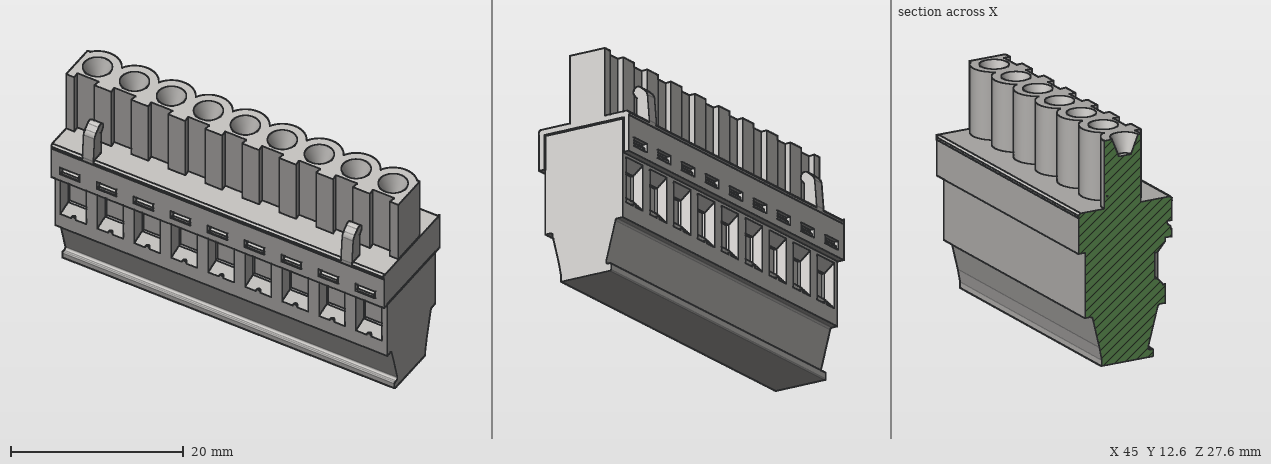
import cadquery as cq
import math

POLES = 9
PITCH = 5.0
WIDTH = 44.9
pole_x = [(i - (POLES - 1) / 2) * PITCH for i in range(POLES)]

TOP = 27.6
BAND_TOP = 19.25
BAND_BOTTOM = 14.25
SHELF_Z = 6.25
LIP_Z = 0.95

BAND_HALF = 6.3
BODY_HALF = 5.4
SHELF_INNER = 4.45
FOOT_BACK = 3.2
FOOT_BACK_Z = 0.75
TAPER_BEND = (3.5, 2.4)
NECK_FRONT = -3.0
LIP_FRONT = -3.8
SHELF_FILLET = 0.25
LIP_EDGE_FILLET = 0.15

BEVEL = 0.25
LID_THICKNESS = 0.6
LID_OVERHANG = 0.05
BODY_TOP = 18.4
GROOVE = 0.15
END_OVERHANG = 0.1

TOWER_Y = 0.05
TOWER_RADIUS = 2.85
TOWER_FRONT = -2.92
SHOULDER_Y = 1.95
KEYWAY_BACK = -2.1
KEYWAY_MOUTH = 2.7
KEYWAY_INNER = 2.9
PLUG_DIA = 3.45
PLUG_FLOOR_DIA = 1.58
PLUG_DEPTH = 2.25

LATCH_WIDTH = 1.5
HOOK_INNER = (-4.55, 22.3)
HOOK_TIP_START = (-4.2, 22.75)
HOOK_TIP_MID = (-4.25, 23.55)
HOOK_TIP_END = (-5.1, 23.6)
HOOK_BEND_START = (-5.65, 23.1)
HOOK_BEND_MID = (-5.9, 22.8)
HOOK_BEND_END = (-6.05, 22.5)
LATCH_X = (POLES / 2 - 1) * PITCH

SLOT_WIDTH = 2.7
SLOT_BOTTOM = 15.2
SLOT_TOP = 16.25
SLOT_DEPTH = 0.65
WEDGE_WIDTH = 2.2
WEDGE_BACK_Z = 15.98
WEDGE_FRONT_Z = 15.55
WEDGE_SETBACK = 0.2

WINDOW_WIDTH = 3.5
WINDOW_BOTTOM = 8.3
WINDOW_TOP = 13.85
THROAT_WIDTH = 2.7
THROAT_BOTTOM = 9.5
THROAT_TOP = 12.65
FUNNEL_DEPTH = 1.1
THROAT_DEPTH = 0.35
BUMP_RADIUS = 0.3


def extrude_x(points, width, x_centre=0.0):
    """Extrude a closed (Y, Z) outline along X, centred on x_centre."""
    outline = cq.Workplane("YZ", origin=(x_centre - width / 2, 0, 0)).polyline(points).close()
    return outline.extrude(width)


def block(x_centre, width, y_range, z_range):
    """Box given by its X centre and width and its Y and Z limits."""
    (y0, y1), (z0, z1) = y_range, z_range
    return cq.Workplane("XY").box(width, y1 - y0, z1 - z0, centered=(True, False, False)).translate(
        (x_centre, y0, z0)
    )


def edge_at(y, z):
    """Selector for the long X edge of the housing through (y, z)."""
    reach = 0.022
    low = (-WIDTH, y - reach, z - reach)
    high = (WIDTH, y + reach, z + reach)
    return cq.selectors.BoxSelector(low, high)


def make_body():
    """Wide body tapering down to a foot with a lip along its front."""
    outline = [
        (-BODY_HALF, BAND_TOP - LID_THICKNESS),
        (-BODY_HALF, SHELF_Z),
        (-SHELF_INNER, SHELF_Z),
        (NECK_FRONT, LIP_Z),
        (LIP_FRONT, LIP_Z),
        (LIP_FRONT, 0),
        (FOOT_BACK, 0),
        (FOOT_BACK, FOOT_BACK_Z),
        TAPER_BEND,
        (SHELF_INNER, SHELF_Z),
        (BODY_HALF, SHELF_Z),
        (BODY_HALF, BAND_TOP - LID_THICKNESS),
    ]
    body = extrude_x(outline, WIDTH)
    for y, z in [(-SHELF_INNER, SHELF_Z), (SHELF_INNER, SHELF_Z), (NECK_FRONT, LIP_Z)]:
        body = body.edges(edge_at(y, z)).fillet(SHELF_FILLET)
    for z in (0, LIP_Z):
        body = body.edges(edge_at(LIP_FRONT, z)).fillet(LIP_EDGE_FILLET)
    return body


def make_band():
    """Bevelled lid with side skirts, overhanging on +X where its corners are square."""
    lid_bottom = BAND_TOP - LID_THICKNESS
    skirt_half = BAND_HALF - LID_OVERHANG
    front = [
        (-skirt_half, BAND_BOTTOM),
        (-skirt_half, lid_bottom),
        (-BAND_HALF, lid_bottom),
        (-BAND_HALF, BAND_TOP - BEVEL),
        (-BAND_HALF + BEVEL, BAND_TOP),
    ]
    back = [(-y, z) for y, z in reversed(front)]
    band = extrude_x(front + back, WIDTH + END_OVERHANG, END_OVERHANG / 2)
    square_end = block(
        (WIDTH + END_OVERHANG) / 2, END_OVERHANG, (-BAND_HALF, BAND_HALF), (lid_bottom, BAND_TOP)
    )
    return band.union(square_end)


def cut_end_groove(solid):
    """Narrow groove on the -X end that parts the band from the body."""
    groove_half = BODY_HALF + GROOVE
    x_centre = -WIDTH / 2 + GROOVE / 2
    groove = block(
        x_centre, GROOVE, (-groove_half, groove_half), (BAND_BOTTOM, BODY_TOP + GROOVE)
    )
    core = block(x_centre, GROOVE, (-BODY_HALF, BODY_HALF), (BAND_BOTTOM, BODY_TOP))
    return solid.cut(groove.cut(core))


def make_towers():
    """Row of towers with rounded backs, joined along their flat front."""
    height = TOP - BAND_TOP
    base = cq.Workplane("XY", origin=(0, 0, BAND_TOP))
    half = WIDTH / 2
    cusp_y = TOWER_Y + math.sqrt(TOWER_RADIUS**2 - (PITCH / 2) ** 2)
    shoulder_x = pole_x[-1] + math.sqrt(TOWER_RADIUS**2 - (SHOULDER_Y - TOWER_Y) ** 2)
    arc_ends = [(x + PITCH / 2, cusp_y) for x in pole_x[:-1]] + [(shoulder_x, SHOULDER_Y)]

    outline = base.moveTo(-half, TOWER_FRONT).lineTo(-half, SHOULDER_Y).lineTo(-shoulder_x, SHOULDER_Y)
    for x, arc_end in zip(pole_x, arc_ends):
        outline = outline.threePointArc((x, TOWER_Y + TOWER_RADIUS), arc_end)
    towers = outline.lineTo(half, SHOULDER_Y).lineTo(half, TOWER_FRONT).close().extrude(height)

    for x in pole_x:
        keyway = base.polyline(
            [
                (x - KEYWAY_MOUTH / 2, TOWER_FRONT),
                (x + KEYWAY_MOUTH / 2, TOWER_FRONT),
                (x + KEYWAY_INNER / 2, KEYWAY_BACK),
                (x - KEYWAY_INNER / 2, KEYWAY_BACK),
            ]
        ).close().extrude(height)
        plug_hole = cq.Workplane(
            cq.Solid.makeCone(
                PLUG_DIA / 2,
                PLUG_FLOOR_DIA / 2,
                PLUG_DEPTH,
                pnt=cq.Vector(x, TOWER_Y, TOP),
                dir=cq.Vector(0, 0, -1),
            )
        )
        towers = towers.cut(keyway).cut(plug_hole)
    return towers


def make_latch(x):
    """Springy hook standing on the front edge of the band."""
    root_z = BAND_TOP - BEVEL
    return (
        cq.Workplane("YZ", origin=(x - LATCH_WIDTH / 2, 0, 0))
        .moveTo(HOOK_INNER[0], root_z)
        .lineTo(*HOOK_INNER)
        .lineTo(*HOOK_TIP_START)
        .threePointArc(HOOK_TIP_MID, HOOK_TIP_END)
        .lineTo(*HOOK_BEND_START)
        .threePointArc(HOOK_BEND_MID, HOOK_BEND_END)
        .lineTo(-BAND_HALF, BAND_TOP)
        .lineTo(-BAND_HALF, root_z)
        .close()
        .extrude(LATCH_WIDTH)
    )


def make_slot(x):
    """Cutter for a marking slot, leaving a wedge inside it."""
    back_y = -BAND_HALF + SLOT_DEPTH
    front_y = -BAND_HALF + WEDGE_SETBACK
    pocket = block(x, SLOT_WIDTH, (-BAND_HALF, back_y), (SLOT_BOTTOM, SLOT_TOP))
    wedge = extrude_x(
        [
            (back_y, SLOT_BOTTOM),
            (back_y, WEDGE_BACK_Z),
            (front_y, WEDGE_FRONT_Z),
            (front_y, SLOT_BOTTOM),
        ],
        WEDGE_WIDTH,
        x,
    )
    return pocket.cut(wedge)


def make_window(x):
    """Cutter for a wire window: funnel, short throat and a bump on the sill."""
    window_z = (WINDOW_BOTTOM + WINDOW_TOP) / 2
    throat_z = (THROAT_BOTTOM + THROAT_TOP) / 2
    throat_y = -BODY_HALF + FUNNEL_DEPTH
    funnel = (
        cq.Workplane("XZ", origin=(x, -BODY_HALF, window_z))
        .rect(WINDOW_WIDTH, WINDOW_TOP - WINDOW_BOTTOM)
        .workplane(offset=-FUNNEL_DEPTH)
        .center(0, throat_z - window_z)
        .rect(THROAT_WIDTH, THROAT_TOP - THROAT_BOTTOM)
        .loft(ruled=True)
    )
    throat = block(
        x, THROAT_WIDTH, (throat_y, throat_y + THROAT_DEPTH), (THROAT_BOTTOM, THROAT_TOP)
    )
    bump = (
        cq.Workplane("XZ", origin=(x, -BODY_HALF, WINDOW_BOTTOM))
        .circle(BUMP_RADIUS)
        .extrude(-FUNNEL_DEPTH)
    )
    return funnel.union(throat).cut(bump)


housing = cut_end_groove(make_body().union(make_band())).union(make_towers())
for latch_x in (-LATCH_X, LATCH_X):
    housing = housing.union(make_latch(latch_x))
for x in pole_x:
    housing = housing.cut(make_slot(x)).cut(make_window(x))

result = housing